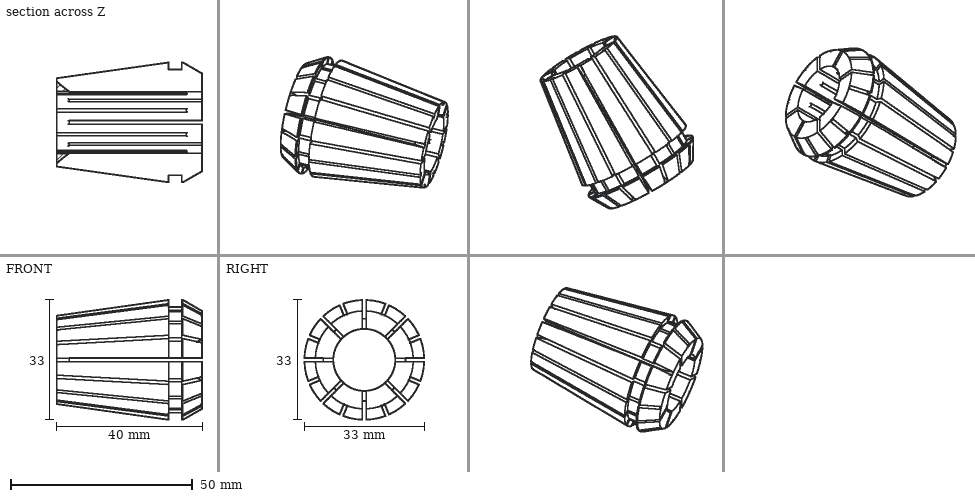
import cadquery as cq
import math


length = 40.0
max_radius = 16.5
bore_radius = 8.5

taper_angle = 8.0
taper_length = 30.8
groove_width = 3.6
groove_radius = 14.6
land_width = 0.35
nose_angle = 30.0

slots_per_end = 8
slot_width = 1.0
slot_pitch = 360.0 / slots_per_end
nose_slot_floor_radius = 11.33
nose_slot_floor_run = 3.5
rear_slot_floor_radius = 13.65
rear_slot_floor_run = 4.35
saw_radius = 35.0
overcut = 1.0

groove_start = taper_length
groove_end = groove_start + groove_width
land_end = groove_end + land_width
small_end_radius = max_radius - taper_length * math.tan(math.radians(taper_angle))
nose_end_radius = max_radius - (length - land_end) * math.tan(math.radians(nose_angle))


def make_body():
    """Bored body of revolution, from its half section in the XY plane."""
    return (
        cq.Workplane("XY")
        .moveTo(0, bore_radius)
        .lineTo(0, small_end_radius)
        .lineTo(groove_start, max_radius)
        .lineTo(groove_start, groove_radius)
        .lineTo(groove_end, groove_radius)
        .lineTo(groove_end, max_radius)
        .lineTo(land_end, max_radius)
        .lineTo(length, nose_end_radius)
        .lineTo(length, bore_radius)
        .close()
        .revolve(360, (0, 0, 0), (1, 0, 0))
    )


def make_slot_cutter(open_x, closed_x, floor_radius, floor_run):
    """Radial slot in the XY plane, open at open_x, with a saw-arc floor rising to closed_x."""
    direction = math.copysign(1, closed_x - open_x)
    bore_side_x = closed_x - direction * floor_run
    open_side_x = open_x - direction * overcut
    inner_radius = bore_radius - overcut
    outer_radius = max_radius + overcut
    return (
        cq.Workplane("XY")
        .moveTo(open_side_x, inner_radius)
        .lineTo(bore_side_x, inner_radius)
        .lineTo(bore_side_x, bore_radius)
        .radiusArc((closed_x, floor_radius), -direction * saw_radius)
        .lineTo(closed_x, outer_radius)
        .lineTo(open_side_x, outer_radius)
        .close()
        .extrude(slot_width / 2, both=True)
    )


def cut_slots(body, cutter, first_angle):
    """Cut one ring of equally spaced slots around the X axis."""
    for index in range(slots_per_end):
        angle = first_angle + index * slot_pitch
        body = body.cut(cutter.rotate((0, 0, 0), (1, 0, 0), angle))
    return body


nose_slot = make_slot_cutter(length, 0, nose_slot_floor_radius, nose_slot_floor_run)
rear_slot = make_slot_cutter(0, length, rear_slot_floor_radius, rear_slot_floor_run)

result = make_body()
result = cut_slots(result, nose_slot, 0)
result = cut_slots(result, rear_slot, slot_pitch / 2)